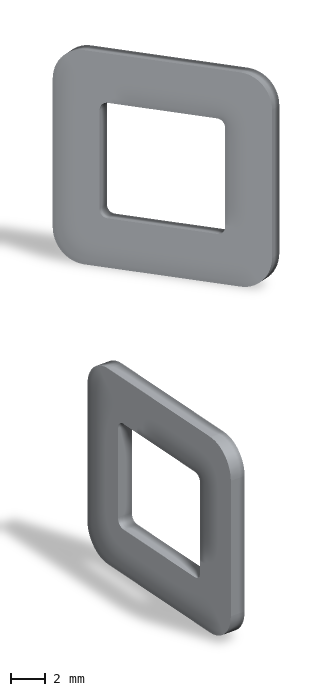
import cadquery as cq

width = 14.0
height = 13.0
thickness = 1.0
border = 3.0
outer_radius = 2.0
window_radius = 0.5

window_width = width - 2 * border
window_height = height - 2 * border


def rounded_plate(plate_width, plate_height, corner_radius):
    """Rectangular plate in the XZ plane, centred on the origin, with rounded corners."""
    plate = cq.Workplane("XY").box(plate_width, thickness, plate_height)
    return plate.edges("|Y").fillet(corner_radius)


outer_plate = rounded_plate(width, height, outer_radius)
window = rounded_plate(window_width, window_height, window_radius)
result = outer_plate.cut(window)